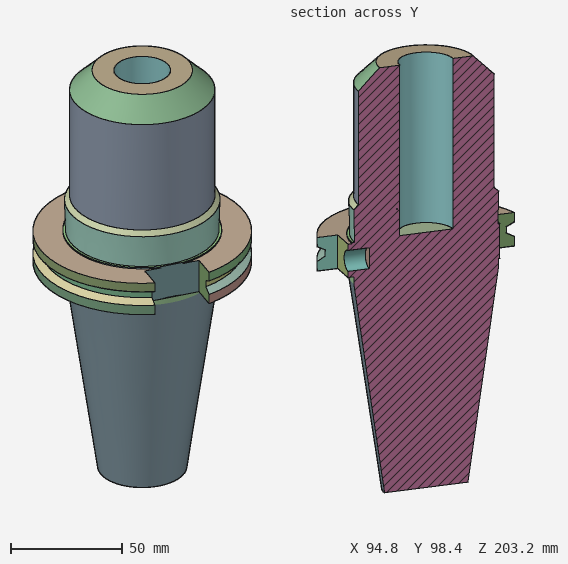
import cadquery as cq

total_height = 203.2

gauge_radius = 35.0
taper_length = 101.5
taper_rate = 7 / 24
shank_end_radius = gauge_radius - taper_length * taper_rate / 2

flange_radius = 49.2
flange_bottom = 104.9
flange_top = 121.0
groove_floor_radius = 45.5
groove_lower_edge = 109.5
groove_floor_bottom = 111.5
groove_floor_top = 114.6
groove_upper_edge = 116.5

seat_radius = 35.8
seat_height = 0.6
collar_foot_radius = 34.5
collar_top_radius = 35.0
collar_top = 137.0

body_radius = 32.7
body_bottom = 139.2
nose_radius = 22.5
nose_height = 10.0

bore_diameter = 25.5
bore_depth = 81.3

slot_width = 26.2
slot_floor_left = 37.5
slot_floor_right = 35.4

dimple_diameter = 9.8
dimple_depth = 10.2
dimple_height = (flange_bottom + flange_top) / 2


def turned_body():
    """Revolve the half profile, given as (radius, height), about Z."""
    profile = [
        (0, 0),
        (shank_end_radius, 0),
        (gauge_radius, taper_length),
        (gauge_radius, flange_bottom),
        (flange_radius, flange_bottom),
        (flange_radius, groove_lower_edge),
        (groove_floor_radius, groove_floor_bottom),
        (groove_floor_radius, groove_floor_top),
        (flange_radius, groove_upper_edge),
        (flange_radius, flange_top),
        (seat_radius, flange_top),
        (seat_radius, flange_top + seat_height),
        (collar_foot_radius, flange_top + seat_height),
        (collar_top_radius, collar_top),
        (body_radius, body_bottom),
        (body_radius, total_height - nose_height),
        (nose_radius, total_height),
        (0, total_height),
    ]
    return cq.Workplane("XZ").polyline(profile).close().revolve(360, (0, 0, 0), (0, 1, 0))


def drive_slot(side, floor_distance):
    """Box that cuts one slot through the flange; side is -1 or +1 along X."""
    depth = flange_radius - floor_distance
    return (
        cq.Workplane("XY", origin=(side * (floor_distance + depth / 2), 0, flange_bottom))
        .rect(depth, slot_width)
        .extrude(flange_top + seat_height - flange_bottom)
    )


def tool_bore():
    return (
        cq.Workplane("XY", origin=(0, 0, total_height - bore_depth))
        .circle(bore_diameter / 2)
        .extrude(bore_depth)
    )


def slot_dimple():
    return (
        cq.Workplane("YZ", origin=(-slot_floor_left, 0, dimple_height))
        .circle(dimple_diameter / 2)
        .extrude(dimple_depth)
    )


result = (
    turned_body()
    .cut(drive_slot(-1, slot_floor_left))
    .cut(drive_slot(1, slot_floor_right))
    .cut(tool_bore())
    .cut(slot_dimple())
)